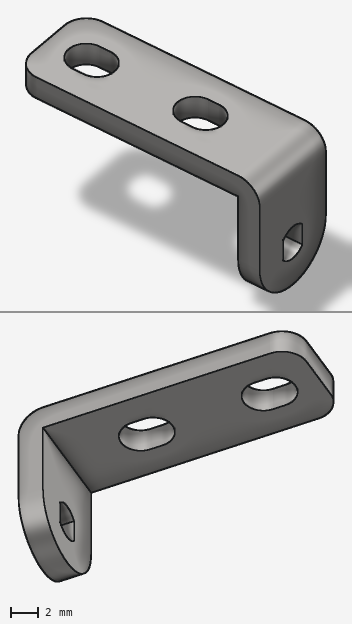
import cadquery as cq

length = 22.5
width = 8.0
height = 12.0
thickness = 2.0
bend_radius = 2.0
corner_radius = 2.0

slot_length = 4.2
slot_width = 3.2
first_slot_offset = 4.0
slot_pitch = 10.0
slot_count = 2

hole_diameter = 3.0
hole_flat_width = 2.3

tip_radius = width / 2
hole_height = tip_radius
leg_inner_x = length - thickness


def horizontal_leg():
    """Flat leg with two rounded free corners."""
    leg = cq.Workplane("XY").box(length, width, thickness, centered=(False, True, False))
    leg = leg.translate((0, 0, height - thickness))
    return leg.edges("|Z and <X").fillet(corner_radius)


def vertical_leg():
    """Downward leg whose lower end is a half-round as wide as the leg."""
    outline = (
        cq.Workplane("YZ", origin=(leg_inner_x, 0, 0))
        .moveTo(-tip_radius, height - thickness)
        .lineTo(-tip_radius, tip_radius)
        .threePointArc((0, 0), (tip_radius, tip_radius))
        .lineTo(tip_radius, height - thickness)
        .close()
    )
    return outline.extrude(thickness)


def mounting_slots():
    """Cutters for the row of slots through the horizontal leg."""
    centres = [(first_slot_offset + i * slot_pitch, 0) for i in range(slot_count)]
    return (
        cq.Workplane("XY", origin=(0, 0, height - thickness))
        .pushPoints(centres)
        .slot2D(slot_length, slot_width)
        .extrude(thickness)
    )


def double_flat_hole():
    """Cutter for the hole with two vertical flats through the vertical leg."""
    plane = cq.Workplane("YZ", origin=(leg_inner_x, 0, hole_height))
    round_hole = plane.circle(hole_diameter / 2).extrude(thickness)
    flats = plane.rect(hole_flat_width, hole_diameter).extrude(thickness)
    return round_hole.intersect(flats)


def bent_plate():
    """Both legs joined, with the outside of the bend rounded."""
    plate = horizontal_leg().union(vertical_leg()).clean()
    return plate.edges("|Y and >X and >Z").fillet(bend_radius)


result = bent_plate().cut(mounting_slots()).cut(double_flat_hole())